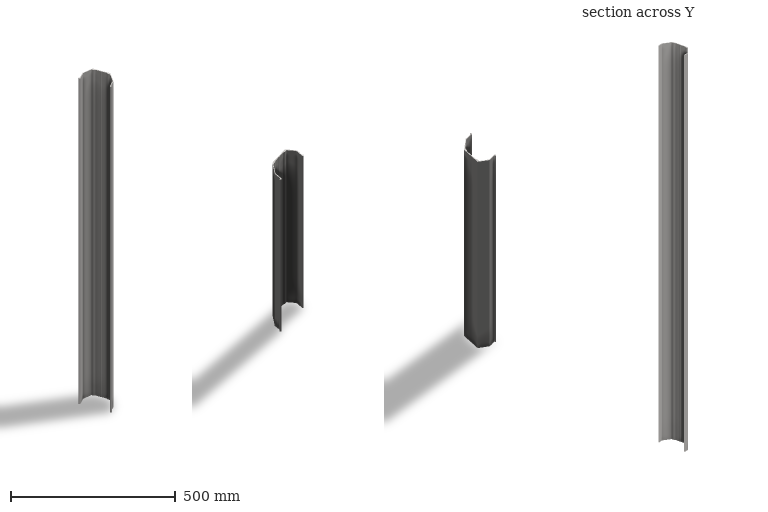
import cadquery as cq

length = 1370.0
width = 108.0
depth = 56.0
sheet = 3.0

crown_y = depth / 2
rim_y = -depth / 2
lip_x = width / 2

crown_half = 29.0
crease_half = 3.0
crease_depth = 0.7
web_half = 18.0
corner_inner_half = 23.0
corner_outer_half = 30.0
corner_drop = 5.0

wall_x = 50.0
wall_top_y = -1.0
wall_inner_x = wall_x - sheet

wall_groove_top = -14.0
wall_groove_bottom = -18.0
wall_groove_depth = 0.7

lip_rise = 3.0
lip_thickness = 1.0
lip_bottom_y = rim_y + lip_rise
lip_top_y = lip_bottom_y + lip_thickness

right_half = [
    (0, crown_y - crease_depth),
    (crease_half, crown_y),
    (crown_half, crown_y),
    (wall_x, wall_top_y),
    (wall_x, wall_groove_top),
    (wall_x - wall_groove_depth, wall_groove_top),
    (wall_x - wall_groove_depth, wall_groove_bottom),
    (wall_x, wall_groove_bottom),
    (wall_x, lip_top_y),
    (lip_x, lip_top_y),
    (lip_x, lip_bottom_y),
    (wall_x, rim_y),
    (wall_inner_x, lip_bottom_y),
    (wall_inner_x, wall_top_y),
    (corner_outer_half, crown_y - corner_drop),
    (corner_inner_half, crown_y - corner_drop),
    (web_half, crown_y - sheet),
    (crease_half, crown_y - sheet),
    (0, crown_y - sheet - crease_depth),
]
left_half = [(-x, y) for x, y in reversed(right_half) if x > 0]

result = cq.Workplane("XY").polyline(right_half + left_half).close().extrude(length)